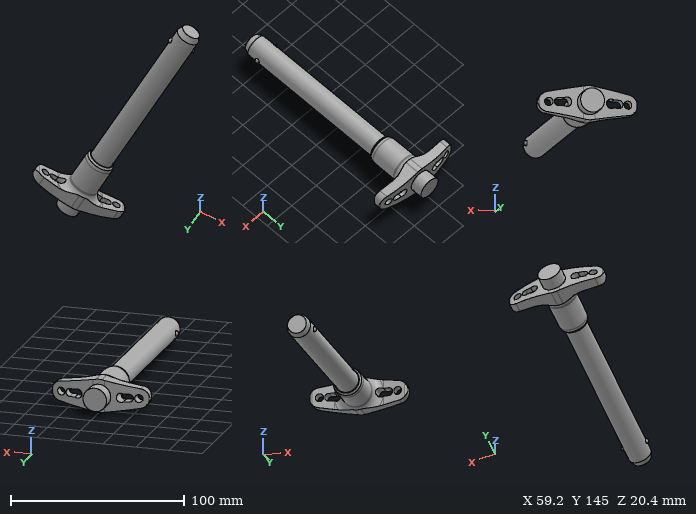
import cadquery as cq
import math

length = 145.0

shaft_radius = 7.1
tip_radius = 5.7
tip_height = 3.8
ball_radius = 1.6
ball_height = 11.5
ball_reach = 8.5

collar_bottom = 104.4
collar_nose_top = 107.8
collar_nose_height = 2.0
collar_top = 124.6
collar_foot_radius = 7.5
collar_nose_radius = 8.5
collar_lower_radius = 9.0
collar_upper_radius = 9.1
flare_bottom = 125.3
flare_bottom_radius = 9.3
flare_outer_radius = 14.8

button_height = 7.8
handle_top = length - button_height
handle_half_span = 29.6
handle_hub_radius = 10.2
handle_tip_radius = 6.1
handle_tip_x = handle_half_span - handle_tip_radius
crown_flat_half = 3.5
crown_end_drop = 3.6
crown_radius = 94.3
underside_middle = 130.0
underside_end = 128.2
top_corner_radius = 1.0
bottom_corner_radius = 1.7

lanyard_hole_radius = 2.3
slot_radius = 2.3
slot_outer_x = 18.0
slot_eye_radius = 2.8
slot_eye_x = 13.2


def disc(x, radius):
    """Round bar along Y over the full length, centred at x."""
    bar = cq.Workplane("XZ").center(x, 0).circle(radius)
    return bar.extrude(-length)


def handle_plan():
    """Diamond outline: a hub circle and two tip circles joined by common tangents."""
    tangent_sine = (handle_hub_radius - handle_tip_radius) / handle_tip_x
    tangent_cosine = math.sqrt(1 - tangent_sine**2)
    hub_x = handle_hub_radius * tangent_sine
    hub_z = handle_hub_radius * tangent_cosine
    end_x = handle_tip_x + handle_tip_radius * tangent_sine
    end_z = handle_tip_radius * tangent_cosine
    return (
        cq.Workplane("XZ")
        .moveTo(-hub_x, hub_z)
        .threePointArc((0, handle_hub_radius), (hub_x, hub_z))
        .lineTo(end_x, end_z)
        .threePointArc((handle_half_span, 0), (end_x, -end_z))
        .lineTo(hub_x, -hub_z)
        .threePointArc((0, -handle_hub_radius), (-hub_x, -hub_z))
        .lineTo(-end_x, -end_z)
        .threePointArc((-handle_half_span, 0), (-end_x, end_z))
        .close()
        .extrude(-length)
    )


def handle_side():
    """Side profile of the handle: crowned above, slightly drooping arms below."""
    crown_end = handle_top - crown_end_drop
    blank = (
        cq.Workplane("XY")
        .moveTo(-crown_flat_half, handle_top)
        .lineTo(crown_flat_half, handle_top)
        .radiusArc((handle_half_span, crown_end), crown_radius)
        .lineTo(handle_half_span, underside_end)
        .lineTo(flare_outer_radius, underside_middle)
        .lineTo(-flare_outer_radius, underside_middle)
        .lineTo(-handle_half_span, underside_end)
        .lineTo(-handle_half_span, crown_end)
        .radiusArc((-crown_flat_half, handle_top), crown_radius)
        .close()
        .extrude(handle_hub_radius, both=True)
    )
    blank = blank.faces("<X or >X").edges(">Y").fillet(top_corner_radius)
    return blank.edges("<Y").fillet(bottom_corner_radius)


def shaft_and_button():
    """One round bar from the chamfered tip to the top of the push button."""
    return (
        cq.Workplane("XY")
        .lineTo(tip_radius, 0)
        .lineTo(shaft_radius, tip_height)
        .lineTo(shaft_radius, length)
        .lineTo(0, length)
        .close()
        .revolve(360, (0, 0, 0), (0, 1, 0))
    )


def collar():
    """Stepped, slightly tapered sleeve that flares into the underside of the handle."""
    flare_width = flare_outer_radius - flare_bottom_radius
    flare_height = underside_middle - flare_bottom
    flare_radius = (flare_width**2 + flare_height**2) / (2 * flare_height)
    half_sweep = math.asin(flare_width / flare_radius) / 2
    flare_middle = (
        flare_outer_radius - flare_radius * math.sin(half_sweep),
        underside_middle - flare_radius * (1 - math.cos(half_sweep)),
    )
    return (
        cq.Workplane("XY")
        .moveTo(0, collar_bottom)
        .lineTo(collar_foot_radius, collar_bottom)
        .lineTo(collar_nose_radius, collar_nose_top - collar_nose_height)
        .lineTo(collar_lower_radius, collar_nose_top)
        .lineTo(collar_upper_radius, collar_top)
        .lineTo(flare_bottom_radius, flare_bottom)
        .threePointArc(flare_middle, (flare_outer_radius, underside_middle))
        .lineTo(0, underside_middle)
        .close()
        .revolve(360, (0, 0, 0), (0, 1, 0))
    )


def arm_openings(side):
    """Lanyard hole and keyhole slot through the arm on the given side."""
    slot_length = slot_outer_x - slot_eye_x
    slot_middle = side * (slot_outer_x + slot_eye_x) / 2
    slot = (
        cq.Workplane("XZ")
        .center(slot_middle, 0)
        .slot2D(slot_length + 2 * slot_radius, 2 * slot_radius)
        .extrude(-length)
    )
    eye = disc(side * slot_eye_x, slot_eye_radius)
    lanyard_hole = disc(side * handle_tip_x, lanyard_hole_radius)
    return slot.union(eye).union(lanyard_hole)


head = handle_side().union(collar()).intersect(handle_plan())
for side in (-1, 1):
    head = head.cut(arm_openings(side))

pin = shaft_and_button()
for side in (-1, 1):
    ball_x = side * (ball_reach - ball_radius)
    ball = cq.Workplane("XY").sphere(ball_radius, direct=(1, 0, 0))
    pin = pin.union(ball.translate((ball_x, ball_height, 0)))

result = pin.union(head)